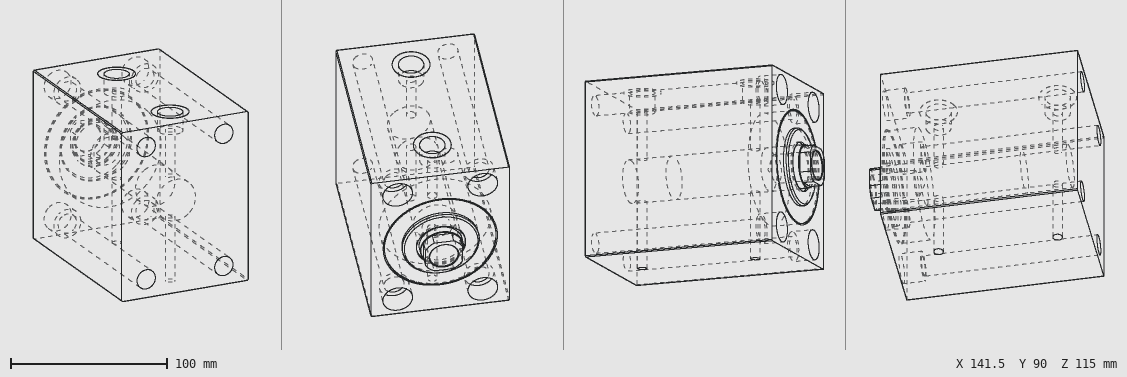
import cadquery as cq


OVERALL_LENGTH = 141.5
PROTRUSION = 13.5
BLOCK_LENGTH = OVERALL_LENGTH - PROTRUSION
BLOCK_WIDTH = 90.0
BLOCK_HEIGHT = 115.0
BLOCK_CHAMFER = 0.7

BOLT_SPACING_Y = 55.2
BOLT_SPACING_Z = 90.0
BOLT_HOLE_DIAMETER = 13.0
BOLT_HEAD_DIAMETER = 19.2
BOLT_HEAD_DEPTH = 14.0

PORT_POSITIONS_X = (29.1, 106.5)
PORT_FACE_DIAMETER = 24.2
PORT_FACE_DEPTH = 0.1
PORT_THREAD_DIAMETER = 16.3
PORT_THREAD_DEPTH = 12.7
PORT_DRILL_DIAMETER = 6.1

GLAND_DIAMETER = 72.5
GLAND_DEPTH = 19.8
GLAND_SEAT_CHAMFER = 0.8
COLLAR_DIAMETER = 50.0
COLLAR_HEIGHT = 3.0
COLLAR_CHAMFER = 1.1
WIPER_RECESS_DIAMETER = 31.8
WIPER_RECESS_DEPTH = 1.4

ROD_DIAMETER = 28.0
SHOULDER_CHAMFER = 0.3
ROD_END_X = 84.9
TIP_LENGTH = 7.2
TIP_DIAMETER = 27.0
TIP_ACROSS_FLATS = 23.9
ROD_HOLE_DIAMETER = 18.4
ROD_HOLE_CHAMFER = 0.4
ROD_HOLE_DEPTH = 28.3
DRILL_POINT_LENGTH = 5.7

BORE_END_X = PORT_POSITIONS_X[-1] + PORT_THREAD_DIAMETER / 2


def cylinder(diameter, x_start, x_end):
    """Solid cylinder on the X axis."""
    return cq.Workplane("YZ", origin=(x_start, 0, 0)).circle(diameter / 2).extrude(x_end - x_start)


def cut_mounting_holes(block):
    """Four counterbored holes, with the bolt heads sunk in the front face."""
    return (
        block.faces("<X").workplane(centerOption="CenterOfBoundBox")
        .rect(BOLT_SPACING_Y, BOLT_SPACING_Z, forConstruction=True).vertices()
        .cboreHole(BOLT_HOLE_DIAMETER, BOLT_HEAD_DIAMETER, BOLT_HEAD_DEPTH)
    )


def make_port(x):
    """Cutter for one oil port: sealing face, threaded hole and a drilling right through the block."""
    top = cq.Workplane("XY", origin=(x, 0, BLOCK_HEIGHT / 2))
    sealing_face = top.circle(PORT_FACE_DIAMETER / 2).extrude(-PORT_FACE_DEPTH)
    thread = top.circle(PORT_THREAD_DIAMETER / 2).extrude(-PORT_THREAD_DEPTH)
    drilling = top.circle(PORT_DRILL_DIAMETER / 2).extrude(-BLOCK_HEIGHT)
    return sealing_face.union(thread).union(drilling)


def make_gland_seat():
    """Cutter for the gland seat in the front face, widened by a 45 degree chamfer at its mouth."""
    mouth_radius = GLAND_DIAMETER / 2 + GLAND_SEAT_CHAMFER
    mouth = cq.Workplane("YZ").circle(mouth_radius).extrude(GLAND_SEAT_CHAMFER, taper=45)
    return cylinder(GLAND_DIAMETER, 0, GLAND_DEPTH).union(mouth)


def make_housing():
    block = cq.Workplane("XY").box(BLOCK_LENGTH, BLOCK_WIDTH, BLOCK_HEIGHT, centered=(False, True, True))
    block = block.edges("|X").chamfer(BLOCK_CHAMFER)
    block = cut_mounting_holes(block)
    for x in PORT_POSITIONS_X:
        block = block.cut(make_port(x))
    block = block.cut(make_gland_seat())
    return block.cut(cylinder(ROD_DIAMETER, 0, BORE_END_X))


def make_gland():
    body = cylinder(GLAND_DIAMETER, 0, GLAND_DEPTH)
    collar = cylinder(COLLAR_DIAMETER, -COLLAR_HEIGHT, 0).faces("<X").edges().chamfer(COLLAR_CHAMFER)
    wiper_recess = cylinder(WIPER_RECESS_DIAMETER, -COLLAR_HEIGHT, WIPER_RECESS_DEPTH - COLLAR_HEIGHT)
    rod_bore = cylinder(ROD_DIAMETER, -COLLAR_HEIGHT, GLAND_DEPTH)
    return body.union(collar).cut(wiper_recess).cut(rod_bore)


def make_rod_hole():
    """Cutter for the blind hole in the rod tip, with a chamfered mouth and a conical drill point."""
    radius = ROD_HOLE_DIAMETER / 2
    hole_end = ROD_HOLE_DEPTH - PROTRUSION
    return (
        cq.Workplane("XY")
        .moveTo(-PROTRUSION, 0)
        .lineTo(-PROTRUSION, radius + ROD_HOLE_CHAMFER)
        .lineTo(-PROTRUSION + ROD_HOLE_CHAMFER, radius)
        .lineTo(hole_end, radius)
        .lineTo(hole_end + DRILL_POINT_LENGTH, 0)
        .close()
        .revolve(360, (0, 0, 0), (1, 0, 0))
    )


def make_rod():
    shoulder_x = TIP_LENGTH - PROTRUSION
    flats = (
        cq.Workplane("YZ", origin=(-PROTRUSION, 0, 0))
        .rect(TIP_ACROSS_FLATS, TIP_ACROSS_FLATS).extrude(TIP_LENGTH)
    )
    tip = cylinder(TIP_DIAMETER, -PROTRUSION, shoulder_x).intersect(flats)
    shank = cylinder(ROD_DIAMETER, shoulder_x, ROD_END_X).faces("<X").edges().chamfer(SHOULDER_CHAMFER)
    return shank.union(tip).cut(make_rod_hole())


housing = make_housing()
gland = make_gland()
rod = make_rod()

result = cq.Compound.makeCompound([housing.val(), gland.val(), rod.val()])